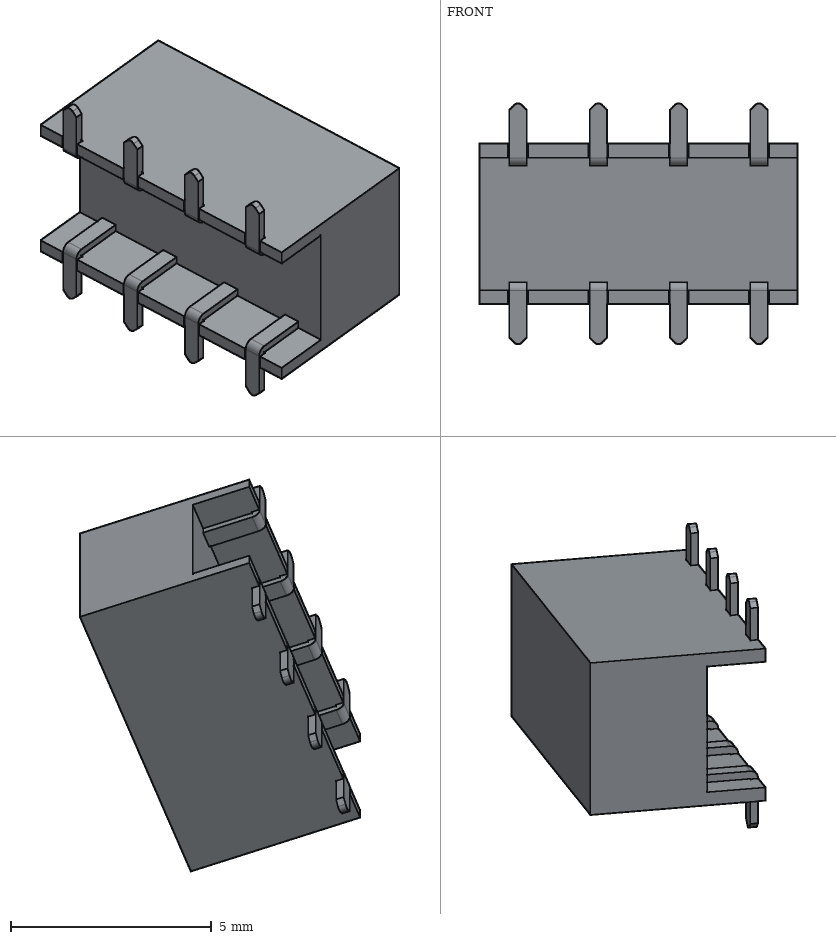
import cadquery as cq
import math

housing_length = 7.92
housing_height = 4.0
block_depth = 3.0
shelf_depth = 1.5
shelf_thickness = 0.35

pin_count = 4
pin_pitch = 2.0
pin_width = 0.44
pin_thickness = 0.2
pin_projection = 1.0
tip_radius = 0.13
tip_half_angle = 45.0
notch_clearance = 0.03

front_y = -shelf_depth
back_y = block_depth
shelf_outer_z = housing_height / 2
shelf_inner_z = shelf_outer_z - shelf_thickness
leg_inner_z = shelf_inner_z - pin_thickness
tip_z = shelf_outer_z + pin_projection
notch_width = pin_width + 2 * notch_clearance
pin_positions = [(i - (pin_count - 1) / 2) * pin_pitch for i in range(pin_count)]


def make_housing():
    """Block and shelves, with a notch in each shelf's front edge for every pin."""
    block = cq.Workplane("XY").box(
        housing_length, block_depth + shelf_depth, housing_height
    ).translate((0, (front_y + back_y) / 2, 0))
    recess = cq.Workplane("XY").box(
        housing_length, shelf_depth, 2 * shelf_inner_z
    ).translate((0, front_y / 2, 0))
    notches = (
        cq.Workplane("XY")
        .workplane(offset=-shelf_outer_z)
        .pushPoints([(x, front_y + pin_thickness / 2) for x in pin_positions])
        .rect(notch_width, pin_thickness)
        .extrude(housing_height)
    )
    return block.cut(recess).cut(notches)


def make_upper_pin(x):
    """L-shaped pin: a leg under the upper shelf and a pointed blade rising in front."""
    blade_back_y = front_y + pin_thickness
    bend_shift = pin_thickness * math.sqrt(0.5)
    side_profile = (
        cq.Workplane("YZ")
        .moveTo(0, leg_inner_z)
        .lineTo(blade_back_y, leg_inner_z)
        .threePointArc(
            (blade_back_y - bend_shift, shelf_inner_z - bend_shift),
            (front_y, shelf_inner_z),
        )
        .lineTo(front_y, tip_z)
        .lineTo(blade_back_y, tip_z)
        .lineTo(blade_back_y, shelf_inner_z)
        .lineTo(0, shelf_inner_z)
        .close()
        .extrude(pin_width / 2, both=True)
    )

    half_angle = math.radians(tip_half_angle)
    tangent_x = tip_radius * math.cos(half_angle)
    tangent_z = tip_z - tip_radius * (1 - math.sin(half_angle))
    half_width = pin_width / 2
    shoulder_z = tangent_z - (half_width - tangent_x) / math.tan(half_angle)
    front_outline = (
        cq.Workplane("XZ")
        .moveTo(-half_width, leg_inner_z)
        .lineTo(-half_width, shoulder_z)
        .lineTo(-tangent_x, tangent_z)
        .threePointArc((0, tip_z), (tangent_x, tangent_z))
        .lineTo(half_width, shoulder_z)
        .lineTo(half_width, leg_inner_z)
        .close()
        .extrude(shelf_depth)
    )
    return side_profile.intersect(front_outline).translate((x, 0, 0))


housing = make_housing()

pins = []
for pin_x in pin_positions:
    upper_pin = make_upper_pin(pin_x)
    lower_pin = upper_pin.mirror("XY")
    pins += [upper_pin.val(), lower_pin.val()]

result = cq.Compound.makeCompound([housing.val(), *pins])